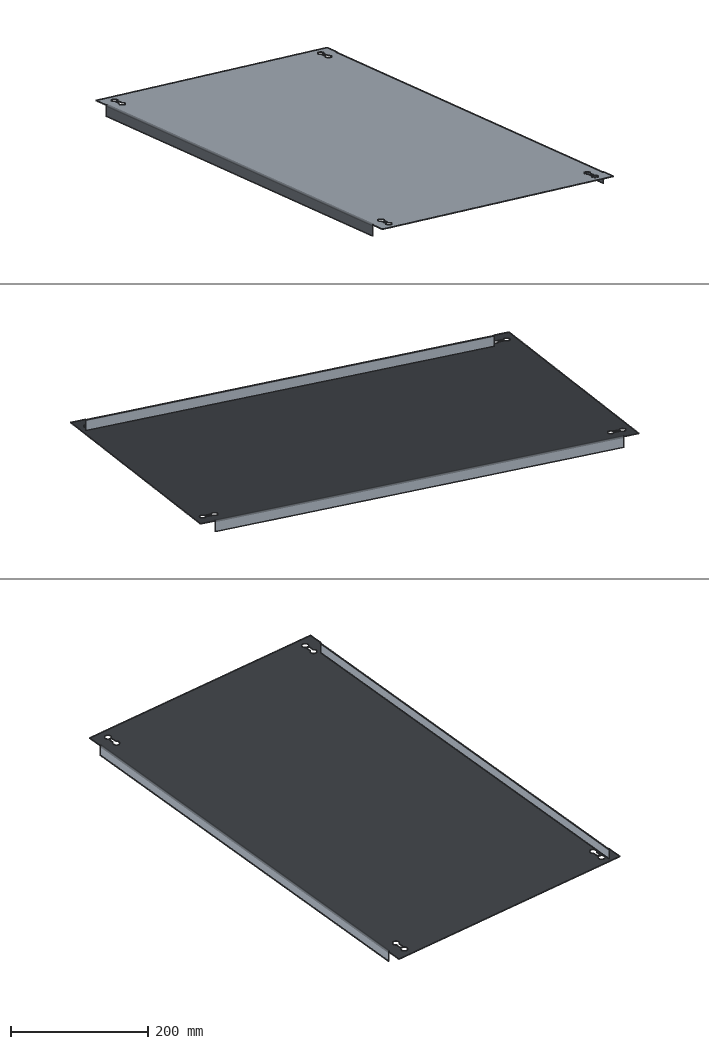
import cadquery as cq

length = 717.5
width = 413.0
height = 18.0
thickness = 1.0

flange_end_gap = 24.5
flange_length = length - 2 * flange_end_gap
bend_outer_radius = 1.95
bend_inner_radius = bend_outer_radius - thickness

hole_diameter = 10.0
slot_width = 5.0
web_width = 0.35
outer_hole_inset = 15.0
hole_spacing = 19.5
hole_edge_distance = 22.0
hole_row_y = width / 2 - hole_edge_distance


def make_plate():
    """Flat top sheet, with its upper face at Z = 0."""
    return cq.Workplane("XY").rect(length, width).extrude(-thickness)


def make_folded_channel():
    """Middle stretch of the panel: a channel with rounded bends."""
    outer = (
        cq.Workplane("XY")
        .box(flange_length, width, height, centered=(True, True, False))
        .translate((0, 0, -height))
        .edges("|X and >Z")
        .fillet(bend_outer_radius)
    )
    inner = (
        cq.Workplane("XY")
        .box(flange_length, width - 2 * thickness, height - thickness, centered=(True, True, False))
        .translate((0, 0, -height))
        .edges("|X and >Z")
        .fillet(bend_inner_radius)
    )
    return outer.cut(inner)


def make_end_tabs():
    """Flat sheet left at the two ends, beyond the flanges."""
    middle = cq.Workplane("XY").box(flange_length, width, 2 * height)
    return make_plate().cut(middle)


def make_mounting_cutout(x_side, y_side):
    """Cutter for the round hole and keyhole at one corner."""
    outer_x = x_side * (length / 2 - outer_hole_inset)
    inner_x = outer_x - x_side * hole_spacing
    y = y_side * hole_row_y
    holes = (
        cq.Workplane("XY")
        .pushPoints([(outer_x, y), (inner_x, y)])
        .circle(hole_diameter / 2)
        .extrude(-height)
    )
    slot_reach = hole_spacing - hole_diameter / 2 - web_width
    slot_end_x = inner_x + x_side * (slot_reach - slot_width / 2)
    slot = (
        cq.Workplane("XY")
        .center((inner_x + slot_end_x) / 2, y)
        .slot2D(slot_reach + slot_width / 2, slot_width)
        .extrude(-height)
    )
    return holes.union(slot)


result = make_folded_channel().union(make_end_tabs())
for x_side in (-1, 1):
    for y_side in (-1, 1):
        result = result.cut(make_mounting_cutout(x_side, y_side))